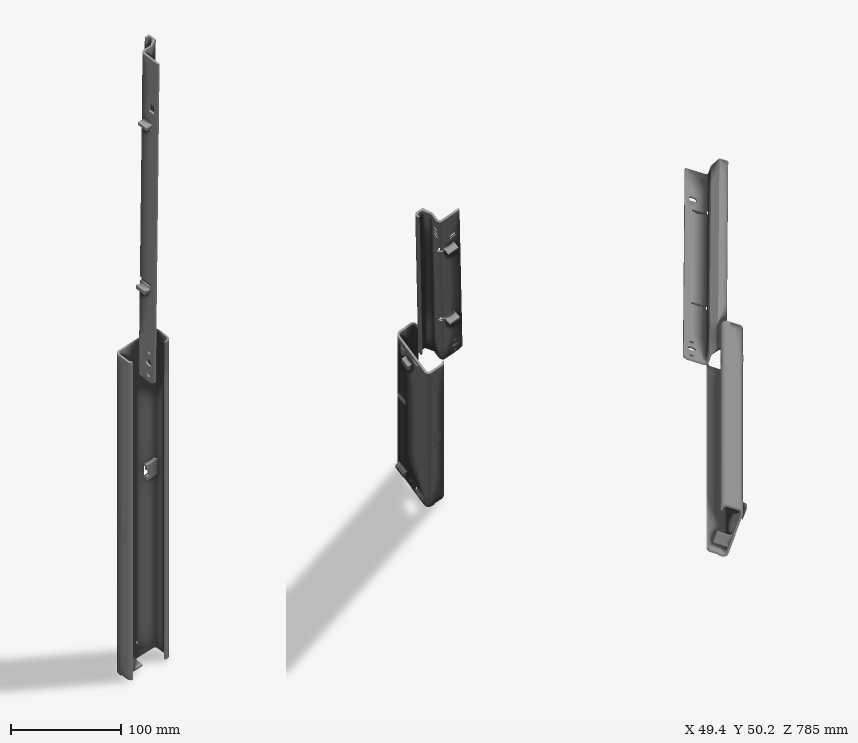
import cadquery as cq


HOUSING_LENGTH = 400.0
HOUSING_DEPTH = 21.0
FLANGE_FACE = 24.9
SHEET = 2.0
CORNER_RADIUS = 4.8
OPENING_TOP = 18.0
OPENING_BOTTOM = -21.5

FOOT_STEP = 1.6
FOOT_WIDTH = 8.0

PAD_HEIGHT = 0.4
PAD_LEFT = 9.5
PAD_RIGHT = 16.0
PAD_FOOT = 171.0
PAD_HEAD = 213.5
PAD_RAMP = 11.5

HOOK_REACH = 4.7
HOOK_GAP = 1.2

BRIDGE_FOOT = 221.0
BRIDGE_HEAD = 240.0
BRIDGE_EDGE = 9.0
BRIDGE_DEPTH = 3.5
NOTCH_DEPTH = 3.0
NOTCH_SPAN = (226.0, 234.0)

WINDOW_SPAN_Y = (-19.0, -4.5)
WINDOW_SPAN_Z = (7.5, 22.5)
STOP_REACH = 16.0
STOP_SPAN_Y = (-16.5, -5.5)

RECESS_DEPTH = SHEET / 2
STOP_DISC_Y = -9.5
STOP_DISC_RADIUS = 3.5
HEAD_DISC_Y = -6.0
HEAD_DISC_Z = 393.5
HEAD_DISC_RADIUS = 5.0

FOOT_HOLE_Y = (-0.5, 2.5)
FOOT_HOLE_Z = (18.0, 22.5)
HEAD_HOLE_Y = (11.5, 17.0)
HEAD_HOLE_Z = (380.0, 385.5)
HEAD_RECESS_Z = (365.0, 370.0)
CORNER_SLOT_Y = (20.5, 22.5)
CORNER_SLOT_Z = (387.5, 396.5)

HEAD_HOOK_Y = (-1.2, 8.5)
HEAD_HOOK_Z = (362.0, 374.5)
HEAD_HOOK_BEVEL = 0.4
FOOT_HOOK_Y = (6.0, 18.0)
FOOT_HOOK_Z = (23.5, 34.0)
FOOT_HOOK_BEVEL = 2.0

RAIL_LENGTH = 400.0
RAIL_FOOT = 384.84
RAIL_LEAN = 0.66
RAIL_SHEET = 2.0
LEG_X = 9.5
FLANGE_TIP = 44.73
RAIL_TOP = 3.8
LEG_END = -1.5
RAIL_FACE = -17.3
RAIL_WEB_X = 21.3
SLOPE_START = 16.5
SLOPE_END = -5.4
RAIL_BEND = 4.2
TIP_CHAMFER = 3.5
CROSSBAR_RADIUS = 1.9
FLANGE_SKIN = (RAIL_FACE, RAIL_FACE + RAIL_SHEET)

MOUNT_X = 37.0
MOUNT_HOLES = ((8.0, 4.5), (23.0, 7.8), (36.5, 4.5))
ARCH_Z = 334.5
ARCH_WIDTH = 7.0
ARCH_STRAIGHT = 6.5

SLOT_LEFT = 24.0
SLOT_RIGHT = 37.8
DIP_X = 32.4
DIP_Z = 314.5
DIP_DIAMETER = 7.0
CLAMP_REACH = 7.0
CLAMP_LIP = 2.6
CLAMP_LEFT = 26.5
UPPER_SLOT_Z = (313.0, 317.5)
UPPER_NOTCH_Z = (313.0, 324.5)
UPPER_ARM_Z = (317.5, 320.0)
UPPER_LIP_Z = (316.7, 320.0)
LOWER_SLOT_Z = (117.0, 121.5)
LOWER_NOTCH_Z = (112.0, 122.5)
LOWER_ARM_Z = (113.0, 115.5)
LOWER_LIP_Z = (112.5, 117.0)

WEB_RECESS_Y = -11.8
WEB_RECESS_SIZE = 5.5
WEB_RECESS_DEPTH = RAIL_SHEET / 2
WEB_RECESS_HEIGHTS = (354.5, 363.0, 374.0)


def block(x_range, y_range, z_range):
    """Box between the given limits."""
    x_size = x_range[1] - x_range[0]
    y_size = y_range[1] - y_range[0]
    z_size = z_range[1] - z_range[0]
    corner = (x_range[0], y_range[0], z_range[0])
    return cq.Workplane("XY").box(x_size, y_size, z_size, centered=False).translate(corner)


def half_disc(y, z, radius):
    """Half round recess in the web, with its flat edge up."""
    return (
        cq.Workplane("YZ")
        .moveTo(y - radius, z)
        .threePointArc((y, z - radius), (y + radius, z))
        .close()
        .extrude(RECESS_DEPTH)
    )


def housing_section():
    outer = (
        cq.Workplane("XY")
        .rect(HOUSING_DEPTH, 2 * FLANGE_FACE)
        .extrude(HOUSING_LENGTH)
        .edges("|Z")
        .fillet(CORNER_RADIUS)
    )
    inner = (
        cq.Workplane("XY")
        .rect(HOUSING_DEPTH - 2 * SHEET, 2 * (FLANGE_FACE - SHEET))
        .extrude(HOUSING_LENGTH)
        .edges("|Z")
        .fillet(CORNER_RADIUS - SHEET)
    )
    tube = outer.cut(inner).translate((HOUSING_DEPTH / 2, 0, 0))
    opening = block(
        (HOUSING_DEPTH - CORNER_RADIUS, HOUSING_DEPTH),
        (OPENING_BOTTOM, OPENING_TOP),
        (0, HOUSING_LENGTH),
    )
    return tube.cut(opening)


def foot_steps():
    """Waste below the raised parts of the foot: all but the corner at -X, -Y."""
    beside = block((FOOT_WIDTH, HOUSING_DEPTH), (-FLANGE_FACE, 0), (0, FOOT_STEP))
    above = block((0, HOUSING_DEPTH), (0, FLANGE_FACE), (0, FOOT_STEP))
    return beside.union(above)


def flange_pad():
    root = -FLANGE_FACE + SHEET / 2
    face = -FLANGE_FACE
    return (
        cq.Workplane("YZ")
        .polyline([
            (root, PAD_FOOT),
            (face, PAD_FOOT),
            (face - PAD_HEIGHT, PAD_FOOT + PAD_RAMP),
            (face - PAD_HEIGHT, PAD_HEAD - PAD_RAMP),
            (face, PAD_HEAD),
            (root, PAD_HEAD),
        ])
        .close()
        .extrude(PAD_RIGHT - PAD_LEFT)
        .translate((PAD_LEFT, 0, 0))
    )


def web_hook(y_range, z_range, bevel):
    """Plate held off the web by a stem along its upper edge; bevel cuts its outer head edge."""
    plate = block((-HOOK_REACH, -HOOK_GAP), y_range, z_range)
    plate = plate.faces("<X").edges(">Z").chamfer(bevel)
    stem = block((-HOOK_GAP, SHEET), y_range, (z_range[1] - 2 * SHEET, z_range[1]))
    return plate.union(stem)


def pressed_bridge():
    floor = block(
        (BRIDGE_DEPTH, BRIDGE_DEPTH + SHEET),
        (BRIDGE_EDGE, FLANGE_FACE - SHEET / 2),
        (BRIDGE_FOOT, BRIDGE_HEAD),
    )
    for z in (BRIDGE_FOOT, BRIDGE_HEAD - SHEET):
        wall = block(
            (0, BRIDGE_DEPTH + SHEET),
            (BRIDGE_EDGE, FLANGE_FACE - CORNER_RADIUS),
            (z, z + SHEET),
        )
        floor = floor.union(wall)
    return floor.cut(
        block((BRIDGE_DEPTH, BRIDGE_DEPTH + SHEET), (BRIDGE_EDGE, BRIDGE_EDGE + NOTCH_DEPTH), NOTCH_SPAN)
    )


def make_housing():
    body = housing_section().cut(foot_steps()).union(flange_pad())

    body = body.cut(
        block((0, BRIDGE_DEPTH), (BRIDGE_EDGE, FLANGE_FACE - SHEET), (BRIDGE_FOOT, BRIDGE_HEAD))
    )
    body = body.union(pressed_bridge())

    window_foot = WINDOW_SPAN_Z[0]
    stop_foot = window_foot - SHEET
    body = body.cut(block((0, SHEET), WINDOW_SPAN_Y, WINDOW_SPAN_Z))
    body = body.union(block((0, STOP_REACH), STOP_SPAN_Y, (stop_foot, window_foot)))

    body = body.cut(block((0, SHEET), FOOT_HOLE_Y, FOOT_HOLE_Z))
    body = body.cut(block((0, SHEET), HEAD_HOLE_Y, HEAD_HOLE_Z))
    body = body.cut(block((0, RECESS_DEPTH), HEAD_HOLE_Y, HEAD_RECESS_Z))
    body = body.cut(block((0, SHEET), CORNER_SLOT_Y, CORNER_SLOT_Z))
    body = body.cut(half_disc(STOP_DISC_Y, stop_foot, STOP_DISC_RADIUS))
    body = body.cut(half_disc(HEAD_DISC_Y, HEAD_DISC_Z, HEAD_DISC_RADIUS))

    body = body.union(web_hook(HEAD_HOOK_Y, HEAD_HOOK_Z, HEAD_HOOK_BEVEL))
    body = body.union(web_hook(FOOT_HOOK_Y, FOOT_HOOK_Z, FOOT_HOOK_BEVEL))
    return body


def round_edge(body, x, y, radius):
    """Fillet the lengthwise edge through (x, y)."""
    edge = cq.selectors.NearestToPointSelector((x, y, RAIL_LENGTH / 2))
    return body.edges("|Z").edges(edge).fillet(radius)


def rail_section():
    inner_top = RAIL_TOP - RAIL_SHEET
    inner_face = RAIL_FACE + RAIL_SHEET
    section = (
        cq.Workplane("XY")
        .polyline([
            (LEG_X, LEG_END),
            (LEG_X, RAIL_TOP),
            (SLOPE_START + RAIL_SHEET, RAIL_TOP),
            (RAIL_WEB_X + RAIL_SHEET, SLOPE_END),
            (RAIL_WEB_X + RAIL_SHEET, inner_face),
            (FLANGE_TIP, inner_face),
            (FLANGE_TIP, RAIL_FACE),
            (RAIL_WEB_X, RAIL_FACE),
            (RAIL_WEB_X, SLOPE_END),
            (SLOPE_START, inner_top),
            (LEG_X + RAIL_SHEET, inner_top),
            (LEG_X + RAIL_SHEET, LEG_END),
        ])
        .close()
        .extrude(RAIL_LENGTH)
    )
    section = round_edge(section, LEG_X, RAIL_TOP, CROSSBAR_RADIUS)
    section = round_edge(section, RAIL_WEB_X, RAIL_FACE, RAIL_BEND)
    section = round_edge(section, RAIL_WEB_X + RAIL_SHEET, inner_face, RAIL_BEND - RAIL_SHEET)
    tip = section.edges(cq.selectors.NearestToPointSelector((FLANGE_TIP, inner_face - RAIL_SHEET / 2, 0)))
    return tip.chamfer(TIP_CHAMFER)


def flange_hole(x, z, diameter):
    return (
        cq.Workplane("XZ", origin=(0, RAIL_FACE + RAIL_SHEET, 0))
        .center(x, z)
        .circle(diameter / 2)
        .extrude(RAIL_SHEET)
    )


def arched_hole(x, z, width, straight):
    """Hole with a flat sill at z and a half round head."""
    sill = block((x - width / 2, x + width / 2), FLANGE_SKIN, (z, z + straight))
    return sill.union(flange_hole(x, z + straight, width))


def clamp_slot(z_range):
    return block((SLOT_LEFT, SLOT_RIGHT), FLANGE_SKIN, z_range)


def bend_notch(z_range):
    """Relief through the bend between web and flange."""
    return block((RAIL_WEB_X, SLOT_LEFT), (RAIL_FACE, RAIL_FACE + RAIL_BEND), z_range)


def clamp_hook(z_range, lip_range):
    """Arm standing out of the flange, with a lip along its end."""
    end = RAIL_FACE - CLAMP_REACH
    arm = block((CLAMP_LEFT, SLOT_RIGHT), (end, RAIL_FACE + RAIL_SHEET), z_range)
    return arm.union(block((CLAMP_LEFT, SLOT_RIGHT), (end, end + CLAMP_LIP), lip_range))


def web_recess(z):
    half = WEB_RECESS_SIZE / 2
    return block(
        (RAIL_WEB_X, RAIL_WEB_X + WEB_RECESS_DEPTH),
        (WEB_RECESS_Y - half, WEB_RECESS_Y + half),
        (z - half, z + half),
    )


def make_rail():
    body = rail_section()

    for z, diameter in MOUNT_HOLES:
        body = body.cut(flange_hole(MOUNT_X, z, diameter))
    body = body.cut(arched_hole(MOUNT_X, ARCH_Z, ARCH_WIDTH, ARCH_STRAIGHT))

    body = body.cut(clamp_slot(UPPER_SLOT_Z))
    body = body.cut(flange_hole(DIP_X, DIP_Z, DIP_DIAMETER))
    body = body.cut(bend_notch(UPPER_NOTCH_Z))
    body = body.union(clamp_hook(UPPER_ARM_Z, UPPER_LIP_Z))

    body = body.cut(clamp_slot(LOWER_SLOT_Z))
    body = body.cut(bend_notch(LOWER_NOTCH_Z))
    body = body.union(clamp_hook(LOWER_ARM_Z, LOWER_LIP_Z))

    for z in WEB_RECESS_HEIGHTS:
        body = body.cut(web_recess(z))
    return body.rotate((0, 0, 0), (1, 0, 0), -RAIL_LEAN).translate((0, 0, RAIL_FOOT))


housing = make_housing()
rail = make_rail()
result = cq.Compound.makeCompound([housing.val(), rail.val()])